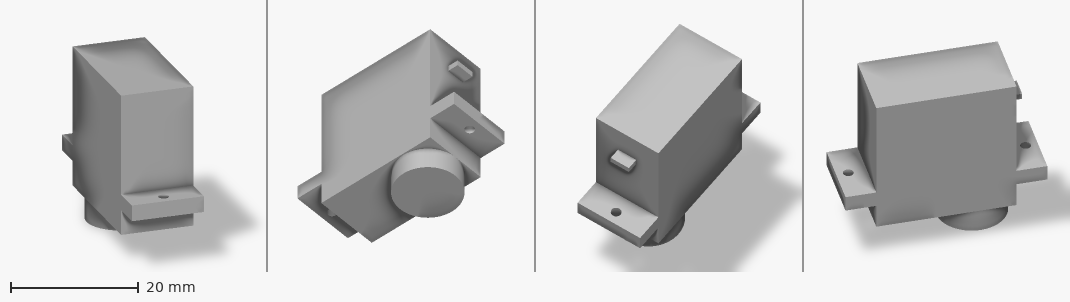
import cadquery as cq

length = 32.6
width = 12.0
height = 27.4

hub_diameter = 11.5
hub_height = 4.0

body_length = 22.65
body_height = height - hub_height
body_end = body_length / 2

flange_thickness = 2.65
flange_bottom = hub_height + 4.1
hole_diameter = 1.7
hole_edge_distance = 2.0
hole_spacing = length - 2 * hole_edge_distance

cable_length = 2.0
cable_width = 3.5
cable_thickness = 1.0
cable_top = height - 4.95


def block(x_size, y_size, z_size, x_center, z_bottom):
    """Box centred on Y, standing on z_bottom."""
    box = cq.Workplane("XY").box(x_size, y_size, z_size, centered=(True, True, False))
    return box.translate((x_center, 0, z_bottom))


body = block(body_length, width, body_height, 0, hub_height)

flange = block(length, width, flange_thickness, 0, flange_bottom)
flange = (
    flange.faces(">Z")
    .workplane(centerOption="CenterOfBoundBox")
    .rarray(hole_spacing, 0.33, 2, 1)
    .hole(hole_diameter)
)

hub_radius = hub_diameter / 2
hub_x = -body_end + hub_radius
hub = cq.Workplane("XY").center(hub_x, 0).circle(hub_radius).extrude(hub_height)

cable_x = -body_end - cable_length / 2
cable = block(cable_length, cable_width, cable_thickness, cable_x, cable_top - cable_thickness)

result = body.union(flange).union(hub).union(cable)